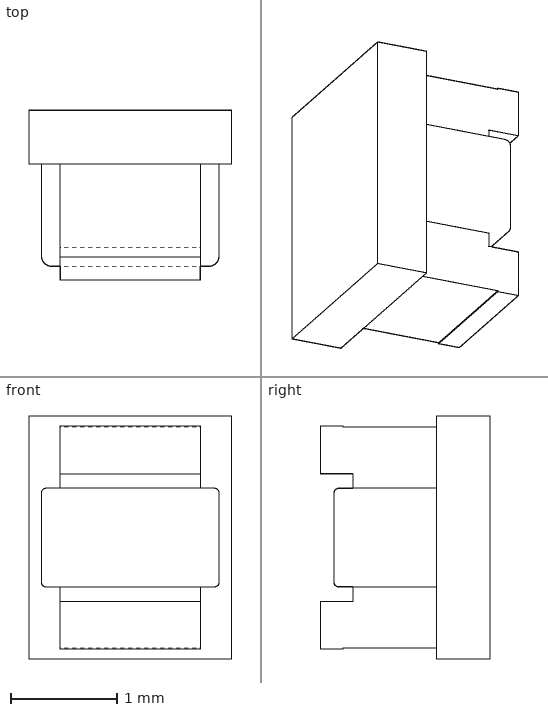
import cadquery as cq

plate_width = 1.91
plate_height = 2.29
plate_thickness = 0.508
total_depth = 1.6

core_width = 1.32
core_height = 2.085
web_depth = 0.785
flange_height = 0.45

cap_thickness = 0.215
cap_overhang = 0.01

coil_width = 1.675
coil_height = 0.93
coil_depth = 0.965
coil_corner_radius = 0.098
coil_rim_radius = 0.045

front_depth = total_depth - plate_thickness
cap_start = front_depth - cap_thickness
flange_inner_z = core_height / 2 + cap_overhang - flange_height


def block(width, depth_start, depth_end, z_bottom, z_top):
    """Box centred on X, with depths measured from the plate face towards -Y."""
    depth = depth_end - depth_start
    height = z_top - z_bottom
    centre = (0, -(depth_start + depth_end) / 2, (z_bottom + z_top) / 2)
    return cq.Workplane("XY").box(width, depth, height).translate(centre)


def make_flange():
    """Upper flange together with its terminal cap."""
    core_top = core_height / 2
    arm = block(core_width, 0, cap_start, flange_inner_z, core_top)
    cap = block(core_width, cap_start, front_depth, flange_inner_z, core_top + cap_overhang)
    return arm.union(cap)


def make_coil():
    """Winding block with rounded upright corners and softened upper and lower rims."""
    coil = block(coil_width, 0, coil_depth, -coil_height / 2, coil_height / 2)
    coil = coil.edges("|Z and <Y").fillet(coil_corner_radius)
    rims = coil.faces("<Z or >Z").edges("not >Y")
    return rims.fillet(coil_rim_radius)


plate = block(plate_width, -plate_thickness, 0, -plate_height / 2, plate_height / 2)
web = block(core_width, 0, web_depth, -flange_inner_z, flange_inner_z)
upper_flange = make_flange()
lower_flange = upper_flange.mirror("XY")

result = plate.union(web).union(upper_flange).union(lower_flange).union(make_coil())